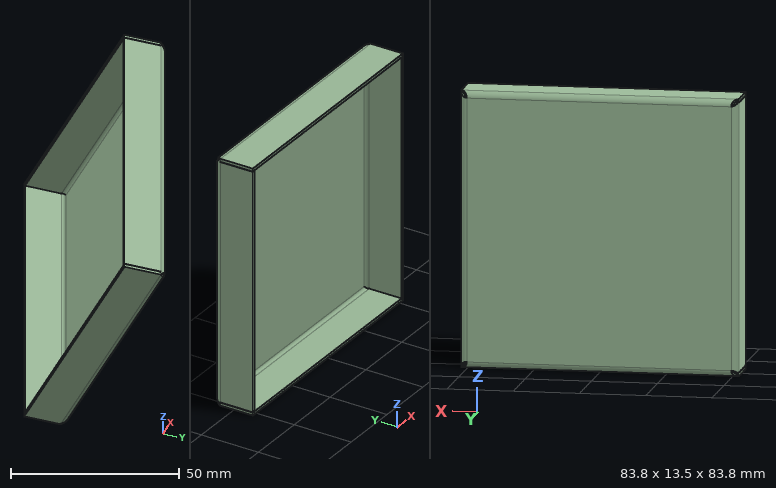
import cadquery as cq

side = 83.8
depth = 13.5
sheet = 1.0
inner_bend_radius = 1.0
corner_gap = 0.125

outer_bend_radius = inner_bend_radius + sheet
cavity_side = side - 2 * sheet
flange_depth = depth - outer_bend_radius


def rounded_block(block_side, block_depth, radius):
    """Square block with its open face at Y = 0 and its back edges rounded."""
    block = cq.Workplane("XY").box(block_side, block_depth, block_side)
    block = block.translate((0, block_depth / 2, 0))
    return block.faces(">Y").edges().fillet(radius)


def flange_slit():
    """Slit between the end of a side flange and the full-width flange, at the +X +Z corner."""
    slit = cq.Workplane("XY").box(outer_bend_radius, flange_depth, corner_gap)
    return slit.translate((
        (side - outer_bend_radius) / 2,
        flange_depth / 2,
        (cavity_side - corner_gap) / 2,
    ))


def bend_relief():
    """Notch that trims two neighbouring bends, at the +X +Z corner.

    It is square in section, full bend size at the back and nothing where the bends meet the flanges.
    """
    edge = side / 2
    triangle = [
        (edge, flange_depth),
        (edge, depth),
        (edge - outer_bend_radius, depth),
    ]
    side_wedge = cq.Workplane("XY").polyline(triangle).close().extrude(edge)
    top_wedge = side_wedge.mirror(cq.Vector(1, 0, -1))
    return side_wedge.intersect(top_wedge)


outer = rounded_block(side, depth, outer_bend_radius)
cavity = rounded_block(cavity_side, depth - sheet, inner_bend_radius)
tray = outer.cut(cavity)

relief = flange_slit().union(bend_relief())
relief = relief.union(relief.mirror("YZ"))
relief = relief.union(relief.mirror("XY"))
tray = tray.cut(relief)

result = tray.translate((0, -depth / 2, 0))